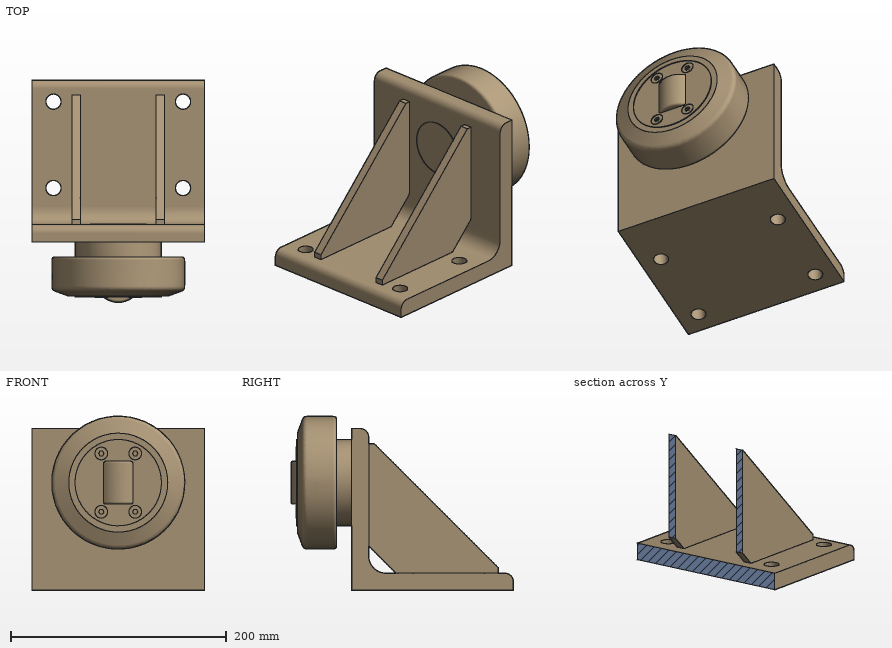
import cadquery as cq
import math


BRACKET_WIDTH = 160.0
LEG_LENGTH = 150.0
LEG_THICKNESS = 16.0
ROOT_RADIUS = 16.0
TIP_RADIUS = 8.0

HOLE_DIAMETER = 13.84
HOLE_SPACING_X = 120.0
HOLE_SPACING_Y = 80.0
HOLE_EDGE_DISTANCE = 20.0

RIB_THICKNESS = 8.0
RIB_LEG = 120.0
RIB_TIP_FLAT = 5.0
RIB_ROOT_CHAMFER = 25.0
RIB_CENTRE_OFFSET = 39.0

ROLLER_AXIS_HEIGHT = 99.8
PIN_DIAMETER = 80.0
PIN_LENGTH = 50.9
PIN_END_DIAMETER = 51.5
PIN_END_PROTRUSION = 0.5
ROLLER_DIAMETER = 123.4
ROLLER_BACK = 13.7
ROLLER_FRONT = 50.2
ROLLER_FACE_DIAMETER = 91.7
ROLLER_CONE_ANGLE = 20.0
ROLLER_EDGE_DROP = 0.2
ROLLER_BACK_FILLET = 3.0
ROLLER_FRONT_FILLET = 4.5

GUIDE_DIAMETER = 42.0
GUIDE_LENGTH = 40.0
GUIDE_FILLET = 2.0
GUIDE_FRONT = 56.0

SCREW_HEAD_DIAMETER = 11.7
SCREW_HEAD_PROTRUSION = 0.4
SCREW_SPACING_X = 31.4
SCREW_SPACING_Z = 54.0
SOCKET_CORNER_DIAMETER = 4.92
SOCKET_DEPTH = 2.0


def nearest(point):
    """Selector for the edge whose centre lies nearest to a point."""
    return cq.selectors.NearestToPointSelector(point)


def make_angle():
    """L-shaped rolled section with a root fillet and rounded leg tips."""
    return (
        cq.Workplane("YZ")
        .polyline([
            (0, 0),
            (LEG_LENGTH, 0),
            (LEG_LENGTH, LEG_THICKNESS),
            (LEG_THICKNESS, LEG_THICKNESS),
            (LEG_THICKNESS, LEG_LENGTH),
            (0, LEG_LENGTH),
        ])
        .close()
        .extrude(BRACKET_WIDTH / 2, both=True)
        .edges(nearest((0, LEG_THICKNESS, LEG_THICKNESS)))
        .fillet(ROOT_RADIUS)
        .edges(nearest((0, LEG_LENGTH, LEG_THICKNESS)))
        .fillet(TIP_RADIUS)
        .edges(nearest((0, LEG_THICKNESS, LEG_LENGTH)))
        .fillet(TIP_RADIUS)
    )


def make_mounting_holes():
    """Four vertical cylinders that pierce the base leg."""
    centre_y = LEG_LENGTH - HOLE_EDGE_DISTANCE - HOLE_SPACING_Y / 2
    return (
        cq.Workplane("XY")
        .center(0, centre_y)
        .rarray(HOLE_SPACING_X, HOLE_SPACING_Y, 2, 2)
        .circle(HOLE_DIAMETER / 2)
        .extrude(LEG_THICKNESS)
    )


def make_rib(centre_x):
    """Triangular gusset with blunt tips and a clipped inner corner."""
    inner = LEG_THICKNESS
    clipped = inner + RIB_ROOT_CHAMFER
    outer = inner + RIB_LEG
    blunt = inner + RIB_TIP_FLAT
    return (
        cq.Workplane("YZ", origin=(centre_x, 0, 0))
        .polyline([
            (clipped, inner),
            (outer, inner),
            (outer, blunt),
            (blunt, outer),
            (inner, outer),
            (inner, clipped),
        ])
        .close()
        .extrude(RIB_THICKNESS / 2, both=True)
    )


def pin_plane(distance):
    """Workplane facing -Y on the pin axis, at a distance in front of Y = 0."""
    return cq.Workplane("XZ", origin=(0, -distance, ROLLER_AXIS_HEIGHT))


def make_pin():
    """Round pin just proud of the roller face, its thinner end piercing the upright leg."""
    body = pin_plane(0).circle(PIN_DIAMETER / 2).extrude(PIN_LENGTH)
    end_length = LEG_THICKNESS + PIN_END_PROTRUSION
    end = pin_plane(0).circle(PIN_END_DIAMETER / 2).extrude(-end_length)
    return body.union(end)


def make_roller():
    """Slightly crowned roller with a conical front shoulder."""
    edge_radius = ROLLER_DIAMETER / 2 - ROLLER_EDGE_DROP
    face_radius = ROLLER_FACE_DIAMETER / 2
    cone_length = (edge_radius - face_radius) * math.tan(math.radians(ROLLER_CONE_ANGLE))
    shoulder = ROLLER_FRONT - cone_length
    crown = (ROLLER_BACK + shoulder) / 2
    roller = (
        cq.Workplane("XY", origin=(0, 0, ROLLER_AXIS_HEIGHT))
        .moveTo(0, -ROLLER_BACK)
        .lineTo(edge_radius, -ROLLER_BACK)
        .threePointArc((ROLLER_DIAMETER / 2, -crown), (edge_radius, -shoulder))
        .lineTo(face_radius, -ROLLER_FRONT)
        .lineTo(0, -ROLLER_FRONT)
        .close()
        .revolve(360, (0, 0, 0), (0, 1, 0))
    )
    roller = roller.faces(">Y").edges().fillet(ROLLER_BACK_FILLET)
    shoulder_centre = (0, -shoulder, ROLLER_AXIS_HEIGHT)
    return roller.edges(nearest(shoulder_centre)).fillet(ROLLER_FRONT_FILLET)


def make_guide_roller():
    """Small cylinder along Z with rounded ends, partly sunk in the pin."""
    centre_y = GUIDE_DIAMETER / 2 - GUIDE_FRONT
    return (
        cq.Workplane("XY", origin=(0, centre_y, ROLLER_AXIS_HEIGHT))
        .circle(GUIDE_DIAMETER / 2)
        .extrude(GUIDE_LENGTH / 2, both=True)
        .edges("%CIRCLE")
        .fillet(GUIDE_FILLET)
    )


def at_screws(plane):
    """Place the four screw centres on a workplane of the pin axis."""
    return plane.rarray(SCREW_SPACING_X, SCREW_SPACING_Z, 2, 2)


def make_screw_heads():
    """Flat screw heads standing slightly proud of the pin face."""
    return (
        at_screws(pin_plane(PIN_LENGTH))
        .circle(SCREW_HEAD_DIAMETER / 2)
        .extrude(SCREW_HEAD_PROTRUSION)
    )


def make_screw_sockets():
    """Hexagonal socket recesses in the screw heads."""
    return (
        at_screws(pin_plane(PIN_LENGTH + SCREW_HEAD_PROTRUSION))
        .polygon(6, SOCKET_CORNER_DIAMETER)
        .extrude(-SOCKET_DEPTH)
    )


bracket = make_angle().cut(make_mounting_holes())
for side in (-1, 1):
    bracket = bracket.union(make_rib(side * RIB_CENTRE_OFFSET))

roller_unit = make_pin().union(make_roller()).union(make_guide_roller())
roller_unit = roller_unit.union(make_screw_heads()).cut(make_screw_sockets())

result = bracket.union(roller_unit)